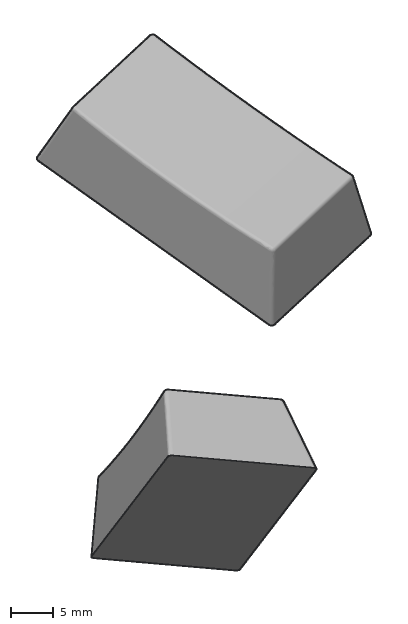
import cadquery as cq

length = 37.1
depth = 18.1
height = 9.35

side_lean = 2.8
front_lean = 3.4
back_lean = 0.15

dish_sag = 0.6
edge_radius = 0.52
rim_allowance = 0.05

rim_height = height + rim_allowance
top_length = length - 2 * side_lean


def tapered_body():
    """Block whose four walls lean inwards by different amounts."""
    top_depth = depth - front_lean - back_lean
    top_center_y = (front_lean - back_lean) / 2
    return (
        cq.Workplane("XY")
        .rect(length, depth)
        .workplane(offset=rim_height)
        .center(0, top_center_y)
        .rect(top_length, top_depth)
        .loft(ruled=True)
    )


def dish_cutter():
    """Cylinder along Y that passes through both ends of the top and dips in the middle."""
    half_chord = top_length / 2
    radius = (half_chord**2 + dish_sag**2) / (2 * dish_sag)
    center_z = rim_height - dish_sag + radius
    return cq.Workplane("XZ").center(0, center_z).circle(radius).extrude(depth, both=True)


dished = tapered_body().cut(dish_cutter())

result = dished.edges("not <Z").fillet(edge_radius)